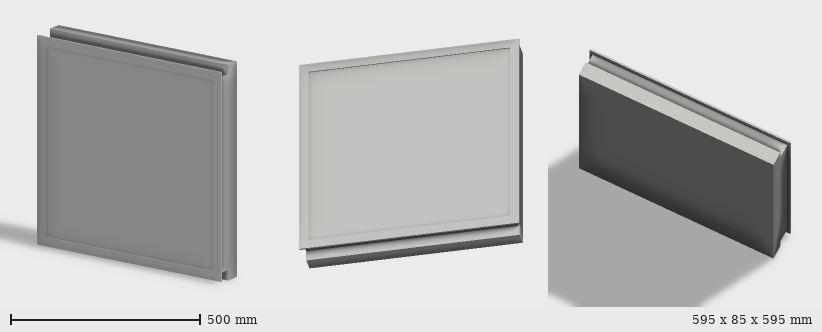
import cadquery as cq

LONG_SIDE = 595.0
SHORT_SIDE = 577.0
TOTAL_DEPTH = 85.0

BOX_DEPTH = 40.0

FLANGE_THICKNESS = 5.5
NECK_DEPTH = TOTAL_DEPTH - BOX_DEPTH - FLANGE_THICKNESS
NECK_HEIGHT = 536.5

RIM_WIDTH = 25.0
RECESS_DEPTH = 3.0

FLANGE_BACK = FLANGE_THICKNESS
BOX_FRONT = FLANGE_BACK + NECK_DEPTH


def block(width, depth, height, front):
    """Block centred in X and Z, reaching backward (+Y) from the plane Y = front."""
    return cq.Workplane("XY").box(width, depth, height, centered=(True, False, True)).translate((0, front, 0))


def make_rear_box():
    """Plain box, taller than it is wide."""
    return block(SHORT_SIDE, BOX_DEPTH, LONG_SIDE, BOX_FRONT)


def make_front_frame():
    """Flange with a recessed face, on a neck as wide as the rear box."""
    flange = block(LONG_SIDE, FLANGE_THICKNESS, SHORT_SIDE, 0)
    neck = block(SHORT_SIDE, NECK_DEPTH, NECK_HEIGHT, FLANGE_BACK)
    recess = block(LONG_SIDE - 2 * RIM_WIDTH, RECESS_DEPTH, SHORT_SIDE - 2 * RIM_WIDTH, 0)
    return flange.union(neck).cut(recess)


rear_box = make_rear_box()
front_frame = make_front_frame()

result = cq.Compound.makeCompound([rear_box.val(), front_frame.val()])